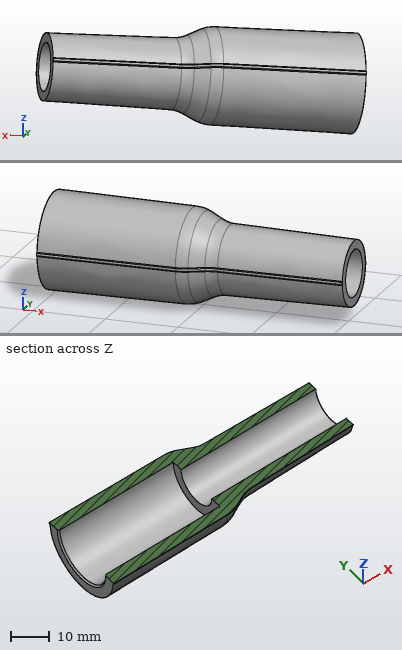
import cadquery as cq
import math

length = 82.8
shoulder_start = 38.1
shoulder_end = 48.5

mouth_radius = 13.2
shoulder_radius = 12.8

socket_diameter = 19.3
socket_chamfer = 0.5
socket_depth = shoulder_start
through_diameter = 12.75

shoulder_blend_length = 3.2
cone_angle = math.radians(25.5)
wall_angle = math.atan((mouth_radius - shoulder_radius) / shoulder_start)
neck_angle = math.radians(0.9)
cone_length = shoulder_end - shoulder_start - 2 * shoulder_blend_length

cone_start_radius = shoulder_radius - shoulder_blend_length * math.tan((wall_angle + cone_angle) / 2)
cone_end_radius = cone_start_radius - cone_length * math.tan(cone_angle)
neck_radius = cone_end_radius - shoulder_blend_length * math.tan((cone_angle + neck_angle) / 2)
tip_radius = neck_radius - (length - shoulder_end) * math.tan(neck_angle)

ridge_height = 0.37
ridge_shoulder_height = 0.2
ridge_top_width = 0.7
ridge_base_width = 1.2
ridge_root = 0.3


def trace_outside():
    """Outer profile in XY from the mouth to the tip."""
    cone_start = shoulder_start + shoulder_blend_length
    cone_end = cone_start + cone_length
    return (
        cq.Workplane("XY")
        .moveTo(0, mouth_radius)
        .lineTo(shoulder_start, shoulder_radius)
        .tangentArcPoint((cone_start, cone_start_radius), relative=False)
        .lineTo(cone_end, cone_end_radius)
        .tangentArcPoint((shoulder_end, neck_radius), relative=False)
        .lineTo(length, tip_radius)
    )


def make_body():
    profile = trace_outside().lineTo(length, 0).lineTo(0, 0).close()
    return profile.revolve(360, (0, 0, 0), (1, 0, 0))


def make_ridge():
    """Round-topped ridge following the outer profile on the +Y side."""
    half_top = ridge_top_width / 2
    half_base = ridge_base_width / 2
    return (
        cq.Workplane("YZ")
        .center(mouth_radius, 0)
        .moveTo(-ridge_root, -half_base)
        .lineTo(0, -half_base)
        .lineTo(ridge_shoulder_height, -half_top)
        .threePointArc((ridge_height, 0), (ridge_shoulder_height, half_top))
        .lineTo(0, half_base)
        .lineTo(-ridge_root, half_base)
        .close()
        .sweep(trace_outside().wire())
    )


def make_bore():
    socket_radius = socket_diameter / 2
    socket = (
        cq.Workplane("XY")
        .lineTo(0, socket_radius + socket_chamfer)
        .lineTo(socket_chamfer, socket_radius)
        .lineTo(socket_depth, socket_radius)
        .lineTo(socket_depth, 0)
        .close()
        .revolve(360, (0, 0, 0), (1, 0, 0))
    )
    through_hole = cq.Workplane("YZ").circle(through_diameter / 2).extrude(length)
    return socket.union(through_hole)


ridge = make_ridge()
result = make_body().union(ridge).union(ridge.mirror("XZ")).cut(make_bore())